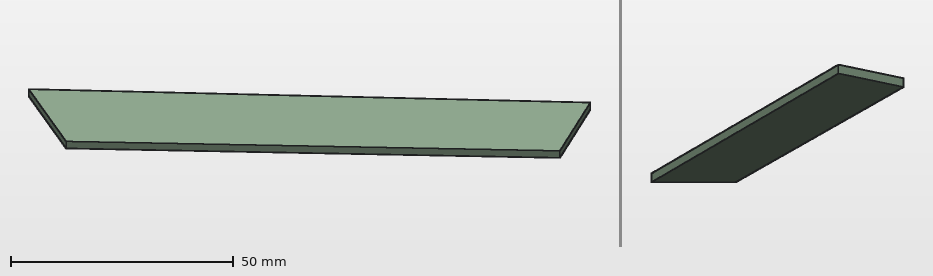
import cadquery as cq

length = 113.5
overall_width = 68.8
thickness = 2.0
foot_width = 20.9
tip_x = 55.4
shoulder_y = 100.1

outline = [
    (0, 0),
    (foot_width, 0),
    (overall_width, shoulder_y),
    (tip_x, length),
]

result = cq.Workplane("XY").polyline(outline).close().extrude(thickness)